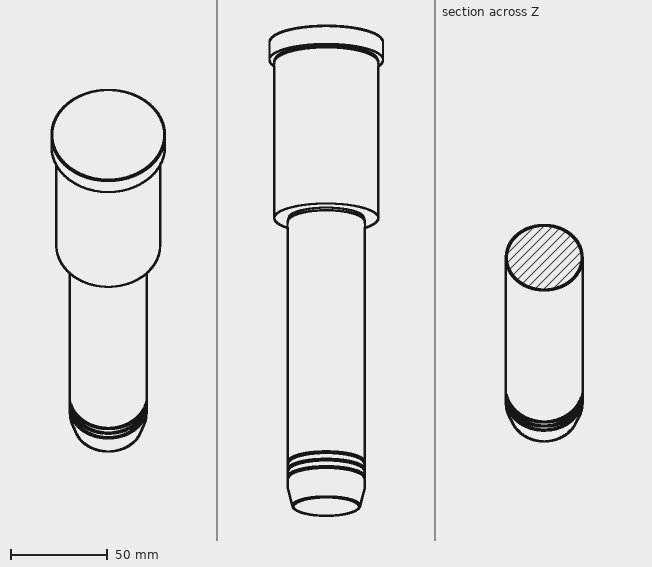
import cadquery as cq

total_length = 251.0

head_diameter = 59.0
head_height = 10.0
head_edge_chamfer = 0.5

body_diameter = 54.0
body_length = 85.3

neck_depth = 0.5
head_neck_width = 1.0
pin_neck_width = 1.5

pin_diameter = 40.0

groove_count = 3
groove_width = 1.0
groove_depth = 0.5
groove_pitch = 4.0
first_groove_center = 23.5

tip_diameter = 35.0
tip_edge_chamfer = 0.5
tip_height = 10.0

head_bottom = total_length - head_height
body_bottom = head_bottom - body_length


def cylinder(diameter, bottom, top):
    """Round bar on the Z axis between two heights."""
    return cq.Workplane("XY").workplane(offset=bottom).circle(diameter / 2).extrude(top - bottom)


def relief_neck(diameter, shoulder, width):
    """Ring to be cut from a bar, leaving a shallow rectangular neck just below a shoulder."""
    bottom = shoulder - width
    outside = cylinder(diameter + 2 * neck_depth, bottom, shoulder)
    return outside.cut(cylinder(diameter - 2 * neck_depth, bottom, shoulder))


def vee_groove(diameter, center):
    """Ring to be cut from a bar, leaving a V-shaped groove centred on a height."""
    radius = diameter / 2
    return (
        cq.Workplane("XZ")
        .moveTo(radius, center - groove_width / 2)
        .lineTo(radius - groove_depth, center)
        .lineTo(radius, center + groove_width / 2)
        .close()
        .revolve(360, (0, 0), (0, 1))
    )


head = cylinder(head_diameter, head_bottom, total_length).edges(">Z").chamfer(head_edge_chamfer)

body = cylinder(body_diameter, body_bottom, head_bottom)

tip = (
    cq.Workplane("XY")
    .circle(tip_diameter / 2)
    .workplane(offset=tip_height)
    .circle(pin_diameter / 2)
    .loft(ruled=True)
    .edges("<Z")
    .chamfer(tip_edge_chamfer)
)
pin = cylinder(pin_diameter, tip_height, body_bottom).union(tip)

result = head.union(body).union(pin)

result = result.cut(relief_neck(body_diameter, head_bottom, head_neck_width))
result = result.cut(relief_neck(pin_diameter, body_bottom, pin_neck_width))

for index in range(groove_count):
    result = result.cut(vee_groove(pin_diameter, first_groove_center - index * groove_pitch))